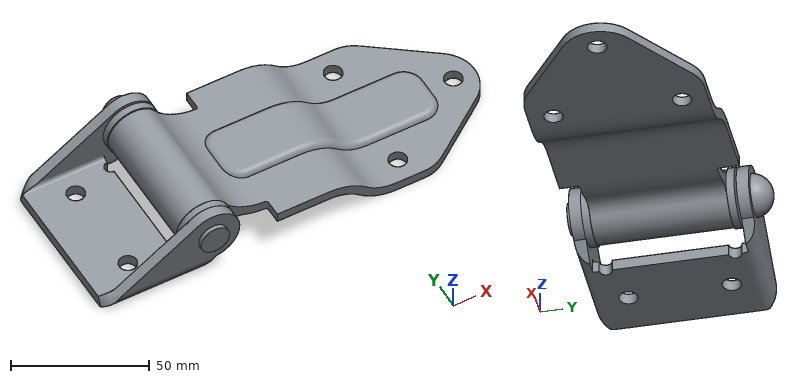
import cadquery as cq
import math

TOTAL_HEIGHT = 28.5
TOTAL_WIDTH = 75.2
KNUCKLE_DIA = 22.2
AXIS_X = 44.6
AXIS_Z = TOTAL_HEIGHT - KNUCKLE_DIA / 2
PIN_DIA = 11.9
SCREW_HOLE_DIA = 7.0
HALF_WIDTH = 33.2
MARGIN = 8.6

BRACKET_THICK = 4.5
BEND_IN = 1.5
BEND_OUT = BEND_IN + BRACKET_THICK
EAR_INNER_Y = HALF_WIDTH - BRACKET_THICK
BEND_Y = HALF_WIDTH - BEND_OUT
EAR_START_X = 6.4
CORNER_START_ANGLE = 22
BEND_END_X = 39.0
EAR_END_X = 46.0
PLATE_END_X = 34.5
RELIEF_RADIUS = 2.4
RELIEF_Y = 24.0
BRACKET_HOLE_X = 17.2
BRACKET_HOLE_Y = 19.1

WASHER_THICK = 3.0
BARREL_LENGTH = 50.8
WASHER_LIP = 0.5
BARREL_RADIUS = KNUCKLE_DIA / 2 - WASHER_LIP
BARREL_START_Y = -EAR_INNER_Y + WASHER_THICK
BARREL_END_Y = BARREL_START_Y + BARREL_LENGTH

STRAP_TIP_X = 172.2
STRAP_THICK = 4.0
UPPER_TOP_Z = 14.8
SHOULDER_X = 71.3
NECK_CORNER_RADIUS = 0.9
NECK_END_X = 71.6
UNDERSIDE_RADIUS = 7.4
STEP_START_X = 92.8
STEP_END_X = 120.9
TAPER_ANGLE = math.radians(36.4)
TIP_RADIUS = 15.0
STRAP_HOLES = [(126.7, 23.8), (126.7, -23.8), (163.2, 0)]

BEAD_HEIGHT = 2.0
BEAD_START_X = 63.0
BEAD_END_X = 153.2
BEAD_HALF_Y = 12.7
BEAD_CORNER_RADIUS = 8.1
BEAD_EDGE_RADIUS = 3.3
BEAD_ROOT = 2.0

DOME_HEIGHT = 7.0
DOME_DIA = 16.4
PIN_TAIL = TOTAL_WIDTH - DOME_HEIGHT - 2 * HALF_WIDTH


def y_cylinder(diameter, y_start, y_end):
    """Cylinder on the hinge axis between two Y positions."""
    plane = cq.Plane(origin=(AXIS_X, y_start, AXIS_Z), xDir=(1, 0, 0), normal=(0, 1, 0))
    return cq.Workplane(plane).circle(diameter / 2).extrude(y_end - y_start)


def y_prism(profile, half_y):
    """Extrude an XZ profile to both sides of the middle plane."""
    return profile.extrude(half_y, both=True)


def z_holes(points):
    """Screw hole cutters through everything."""
    return cq.Workplane("XY").pushPoints(points).circle(SCREW_HOLE_DIA / 2).extrude(TOTAL_HEIGHT, both=True)


def bent_trough(half_width, floor_z, bend_radius):
    """Solid block along X with a flat underside and two rounded lower edges."""
    height = TOTAL_HEIGHT + MARGIN - floor_z
    return (
        cq.Workplane("XY").workplane(offset=floor_z)
        .box(AXIS_X + KNUCKLE_DIA, 2 * half_width, height, centered=(False, True, False))
        .edges("|X and <Z").fillet(bend_radius)
    )


def channel():
    """U-shaped bent sheet, running along X."""
    outer = bent_trough(HALF_WIDTH, 0, BEND_OUT)
    inner = bent_trough(EAR_INNER_Y, BRACKET_THICK, BEND_IN)
    return outer.cut(inner)


def bracket_side():
    """Side outline: sloping ears ending in a round about the hinge axis."""
    radius = KNUCKLE_DIA / 2
    run = AXIS_X - EAR_START_X
    rise = AXIS_Z - BEND_OUT
    slope = math.atan2(rise, run) + math.asin(radius / math.hypot(run, rise))
    tangent = (AXIS_X - radius * math.sin(slope), AXIS_Z + radius * math.cos(slope))
    end_z = AXIS_Z - math.sqrt(radius**2 - (EAR_END_X - AXIS_X) ** 2)
    profile = (
        cq.Workplane("XZ").lineTo(BEND_END_X, 0).lineTo(EAR_END_X, end_z)
        .threePointArc((AXIS_X + radius, AXIS_Z), (AXIS_X, AXIS_Z + radius))
        .threePointArc(
            (AXIS_X - radius * math.sin(slope / 2), AXIS_Z + radius * math.cos(slope / 2)), tangent
        )
        .lineTo(EAR_START_X, BEND_OUT).lineTo(0, BEND_OUT).close()
    )
    return y_prism(profile, HALF_WIDTH)


def bend_corner_cut():
    """Twisted cut that trims the bend gradually from the plate edge up to the ear edge."""
    size = BEND_OUT + MARGIN
    return (
        cq.Workplane("YZ").center(BEND_Y, BEND_OUT)
        .transformed(rotate=(0, 0, CORNER_START_ANGLE))
        .polyline([(0, 0), (0, -size), (size, -size), (size, 0)]).close()
        .twistExtrude(EAR_START_X, 90 - CORNER_START_ANGLE)
    )


def bracket_window():
    """Opening below the barrel, as wide as the gap between the ears, with a relief at each bend."""
    length = EAR_END_X + MARGIN - PLATE_END_X
    window = (
        cq.Workplane("XY")
        .box(length, 2 * EAR_INNER_Y, 2 * BEND_OUT, centered=(False, True, True))
        .translate((PLATE_END_X, 0, 0))
    )
    reliefs = (
        cq.Workplane("XY").pushPoints([(PLATE_END_X, y) for y in (-RELIEF_Y, RELIEF_Y)])
        .circle(RELIEF_RADIUS).extrude(BEND_OUT, both=True)
    )
    return window.union(reliefs)


def make_bracket():
    corner = bend_corner_cut()
    return (
        channel().intersect(bracket_side())
        .cut(corner).cut(corner.mirror("XZ"))
        .cut(bracket_window())
        .cut(z_holes([(BRACKET_HOLE_X, y) for y in (-BRACKET_HOLE_Y, BRACKET_HOLE_Y)]))
        .cut(y_cylinder(PIN_DIA, -TOTAL_WIDTH, TOTAL_WIDTH))
    )


STEP_DROP = UPPER_TOP_Z - STRAP_THICK
STEP_RUN = STEP_END_X - STEP_START_X
STEP_RADIUS = (STEP_RUN**2 + STEP_DROP**2) / (4 * STEP_DROP)
STEP_ANGLE = 2 * math.atan(STEP_DROP / STEP_RUN)
NECK_RUN = NECK_END_X - AXIS_X
NECK_RISE = AXIS_Z - UPPER_TOP_Z
NECK_RADIUS = (NECK_RUN**2 + NECK_RISE**2 - BARREL_RADIUS**2) / (2 * (BARREL_RADIUS + NECK_RISE))
NECK_CENTRE = (NECK_END_X, UPPER_TOP_Z + NECK_RADIUS)


def point_at(centre, radius, angle):
    return (centre[0] + radius * math.cos(angle), centre[1] + radius * math.sin(angle))


def point_towards(start, end, distance):
    span = math.dist(start, end)
    return tuple(a + (b - a) * distance / span for a, b in zip(start, end))


def step_arcs(offset):
    """Points of the S-step at a height above mid thickness: start, mid, inflection, mid, end."""
    upper = (STEP_START_X, UPPER_TOP_Z - STRAP_THICK / 2 - STEP_RADIUS)
    lower = (STEP_END_X, STRAP_THICK / 2 + STEP_RADIUS)
    up = math.pi / 2
    return [
        point_at(upper, STEP_RADIUS + offset, up),
        point_at(upper, STEP_RADIUS + offset, up - STEP_ANGLE / 2),
        point_at(upper, STEP_RADIUS + offset, up - STEP_ANGLE),
        point_at(lower, STEP_RADIUS - offset, -up - STEP_ANGLE / 2),
        point_at(lower, STEP_RADIUS - offset, -up),
    ]


def stepped_band(start_x, end_x, low, high):
    """XZ outline of a stepped band between two heights measured from mid thickness."""
    top = step_arcs(high)
    bottom = step_arcs(low)
    return (
        cq.Workplane("XZ").moveTo(start_x, top[0][1]).lineTo(*top[0])
        .threePointArc(top[1], top[2]).threePointArc(top[3], top[4])
        .lineTo(end_x, top[4][1]).lineTo(end_x, bottom[4][1]).lineTo(*bottom[4])
        .threePointArc(bottom[3], bottom[2]).threePointArc(bottom[1], bottom[0])
        .lineTo(start_x, bottom[0][1]).close()
    )


def neck_profile():
    """XZ outline of the neck, blended into the barrel above and below."""
    axis = (AXIS_X, AXIS_Z)
    under_radius = NECK_RADIUS + STRAP_THICK
    span = math.dist(axis, NECK_CENTRE)
    to_barrel = BARREL_RADIUS + UNDERSIDE_RADIUS
    to_neck = under_radius + UNDERSIDE_RADIUS
    along = (to_barrel**2 - to_neck**2 + span**2) / (2 * span)
    across = math.sqrt(to_barrel**2 - along**2)
    tilt = math.atan2(NECK_CENTRE[1] - AXIS_Z, NECK_RUN)
    blend = point_at(axis, to_barrel, tilt - math.atan2(across, along))

    top_start = point_towards(axis, NECK_CENTRE, BARREL_RADIUS)
    down = -math.pi / 2
    top_angle = (tilt - math.pi + down) / 2
    under_join = point_towards(blend, NECK_CENTRE, UNDERSIDE_RADIUS)
    barrel_join = point_towards(blend, axis, UNDERSIDE_RADIUS)
    join_angle = math.atan2(under_join[1] - NECK_CENTRE[1], under_join[0] - NECK_CENTRE[0])
    return (
        cq.Workplane("XZ").moveTo(*top_start)
        .threePointArc(point_at(NECK_CENTRE, NECK_RADIUS, top_angle), (NECK_END_X, UPPER_TOP_Z))
        .lineTo(NECK_END_X, UPPER_TOP_Z - STRAP_THICK)
        .threePointArc(point_at(NECK_CENTRE, under_radius, (join_angle + down) / 2), under_join)
        .threePointArc((blend[0], blend[1] + UNDERSIDE_RADIUS), barrel_join)
        .lineTo(*axis).close()
    )


def strap_plan():
    """Plan outline: narrow neck, full-width shoulders and a rounded tapering tip."""
    tip_centre_x = STRAP_TIP_X - TIP_RADIUS
    apex_x = tip_centre_x + TIP_RADIUS / math.sin(TAPER_ANGLE)
    taper_x = apex_x - HALF_WIDTH / math.tan(TAPER_ANGLE)
    wide = (
        cq.Workplane("XY")
        .polyline([
            (SHOULDER_X, -HALF_WIDTH), (taper_x, -HALF_WIDTH), (apex_x, 0),
            (taper_x, HALF_WIDTH), (SHOULDER_X, HALF_WIDTH),
        ]).close().extrude(TOTAL_HEIGHT)
        .edges("|Z").edges("not <X").fillet(TIP_RADIUS)
    )
    narrow = (
        cq.Workplane("XY").moveTo(0, BARREL_START_Y).lineTo(NECK_END_X, BARREL_START_Y)
        .lineTo(NECK_END_X, BARREL_END_Y).lineTo(0, BARREL_END_Y).close().extrude(TOTAL_HEIGHT)
    )
    inside_y = (HALF_WIDTH + BARREL_END_Y) / 2
    inside_corners = cq.selectors.BoxSelector(
        (SHOULDER_X - NECK_CORNER_RADIUS, -inside_y, 0),
        (SHOULDER_X + NECK_CORNER_RADIUS, inside_y, TOTAL_HEIGHT),
    )
    return wide.union(narrow).edges("|Z").edges(inside_corners).fillet(NECK_CORNER_RADIUS)


def make_bead():
    """Raised panel that follows the step, with rounded upper edges."""
    base = STRAP_THICK / 2
    band = y_prism(
        stepped_band(BEAD_START_X, BEAD_END_X, base - BEAD_ROOT, base + BEAD_HEIGHT), BEAD_HALF_Y
    )
    plan = (
        cq.Workplane("XY")
        .box(BEAD_END_X - BEAD_START_X, 2 * BEAD_HALF_Y, 2 * TOTAL_HEIGHT, centered=(False, True, True))
        .translate((BEAD_START_X, 0, 0)).edges("|Z").fillet(BEAD_CORNER_RADIUS)
    )
    upper_flat = cq.selectors.NearestToPointSelector(
        (STEP_START_X - BEAD_HALF_Y, 0, UPPER_TOP_Z + BEAD_HEIGHT)
    )
    return band.intersect(plan).faces(upper_flat).edges("<X").fillet(BEAD_EDGE_RADIUS)


def make_strap():
    half = STRAP_THICK / 2
    plate = y_prism(stepped_band(NECK_END_X, STRAP_TIP_X, -half, half), HALF_WIDTH)
    neck = y_prism(neck_profile(), HALF_WIDTH)
    return (
        neck.union(plate).intersect(strap_plan())
        .union(y_cylinder(2 * BARREL_RADIUS, BARREL_START_Y, BARREL_END_Y))
        .union(make_bead())
        .cut(z_holes(STRAP_HOLES))
        .cut(y_cylinder(PIN_DIA, BARREL_START_Y, BARREL_END_Y))
    )


def make_washer(y_start):
    y_end = y_start + WASHER_THICK
    return y_cylinder(KNUCKLE_DIA, y_start, y_end).cut(y_cylinder(PIN_DIA, y_start, y_end))


def make_pin():
    """Shank with a domed head outside one ear and a flat tail outside the other."""
    shank = y_cylinder(PIN_DIA, -HALF_WIDTH - PIN_TAIL, HALF_WIDTH)
    chord = DOME_DIA / 2
    radius = (chord**2 + DOME_HEIGHT**2) / (2 * DOME_HEIGHT)
    ball = cq.Workplane("XY").sphere(radius).translate(
        (AXIS_X, HALF_WIDTH + DOME_HEIGHT - radius, AXIS_Z)
    )
    dome = ball.intersect(y_cylinder(4 * radius, HALF_WIDTH, TOTAL_WIDTH))
    return shank.union(dome)


bracket = make_bracket()
strap = make_strap()
pin = make_pin()
washers = [make_washer(y) for y in (-EAR_INNER_Y, BARREL_END_Y)]

result = cq.Compound.makeCompound(
    [bracket.val(), strap.val(), pin.val(), *[washer.val() for washer in washers]]
)